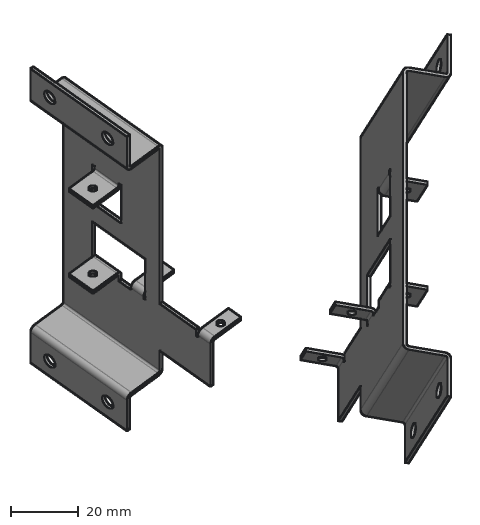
import cadquery as cq

length = 125.0
plate_width = 40.0
thickness = 1.2
inner_radius = 0.7
mid_radius = inner_radius + thickness / 2
mid_y = -thickness / 2

flange_depth = 15.0
flange_height = 13.8
mount_hole_diameter = 4.5
mount_hole_edge_x = 8.0
mount_hole_edge_z = 6.5

arm_right = 61.0
arm_bottom = 23.9
arm_height = 20.0
arm_top = arm_bottom + arm_height

window_left = 12.0
upper_window_right = 24.0
upper_window_bottom = 66.5
upper_window_top = 82.6
lower_window_right = 34.0
lower_window_top = 58.5

wide_tab_width = 10.0
wide_slit = 1.0
wide_tab_left = window_left + wide_slit
wide_tab_right = wide_tab_left + wide_tab_width
wide_tab_reach = 12.0
wide_tab_hole_y = -7.0
upper_tab_top = 81.2
lower_tab_top = 45.0
lower_tab_root = 42.4

narrow_tab_width = 5.2
narrow_tab_reach = 11.8
narrow_tab_hole_y = 5.8
narrow_tab_root = 41.2
narrow_slit = 0.8
tab_hole_diameter = 2.5


def direction(start, end):
    """Unit vector between two points that differ along one axis only."""
    span = abs(end[0] - start[0]) + abs(end[1] - start[1])
    return (end[0] - start[0]) / span, (end[1] - start[1]) / span


def bent_strip(left, right, centre_line):
    """Sheet strip following square-cornered (Y, Z) points, each corner bent to the same radius."""
    first = centre_line[0]
    path = cq.Workplane("YZ", origin=((left + right) / 2, 0, 0)).moveTo(*first)
    for before, corner, after in zip(centre_line, centre_line[1:], centre_line[2:]):
        into = direction(before, corner)
        out = direction(corner, after)
        bend_start = (corner[0] - mid_radius * into[0], corner[1] - mid_radius * into[1])
        bend_end = (corner[0] + mid_radius * out[0], corner[1] + mid_radius * out[1])
        path = path.lineTo(*bend_start).tangentArcPoint(bend_end, relative=False)
    path = path.lineTo(*centre_line[-1])
    section = cq.Workplane("XY", origin=((left + right) / 2, first[0], first[1]))
    return section.rect(right - left, thickness).sweep(path)


def plate_block(left, right, bottom, top):
    """Block as thick as the plate, lying in the plate."""
    corner = (left, -thickness, bottom)
    return cq.Workplane("XY").box(right - left, thickness, top - bottom, centered=False).translate(corner)


def tab(left, right, root_z, leaf_z, tip_y, hole_y):
    """Drilled tab that leaves the plate at root_z and bends to lie level at mid-height leaf_z."""
    strip = bent_strip(left, right, [(mid_y, root_z), (mid_y, leaf_z), (tip_y, leaf_z)])
    drill = (
        cq.Workplane("XY", origin=((left + right) / 2, hole_y, leaf_z - thickness))
        .circle(tab_hole_diameter / 2)
        .extrude(2 * thickness)
    )
    return strip.cut(drill)


flange_mid_y = -flange_depth + thickness / 2
bottom_web_z = flange_height + thickness / 2
top_web_z = length - bottom_web_z
body = bent_strip(
    0,
    plate_width,
    [
        (flange_mid_y, 0),
        (flange_mid_y, bottom_web_z),
        (mid_y, bottom_web_z),
        (mid_y, top_web_z),
        (flange_mid_y, top_web_z),
        (flange_mid_y, length),
    ],
)

mount_holes = [
    (x, z)
    for x in (mount_hole_edge_x, plate_width - mount_hole_edge_x)
    for z in (mount_hole_edge_z, length - mount_hole_edge_z)
]
mount_drills = (
    cq.Workplane("XZ")
    .pushPoints(mount_holes)
    .circle(mount_hole_diameter / 2)
    .extrude(flange_depth)
)
body = body.cut(mount_drills)

arm_tab_left = arm_right - narrow_tab_width
body = body.union(plate_block(plate_width, arm_right, arm_bottom, arm_top))
body = body.cut(plate_block(arm_tab_left - narrow_slit, arm_right, narrow_tab_root, arm_top))

body = body.cut(plate_block(window_left, upper_window_right, upper_window_bottom, upper_window_top))
body = body.cut(plate_block(window_left, lower_window_right, lower_tab_root, lower_window_top))
body = body.cut(plate_block(wide_tab_right, lower_window_right, narrow_tab_root, lower_window_top))

for root_z, top_z in ((upper_window_top, upper_tab_top), (lower_tab_root, lower_tab_top)):
    leaf_z = top_z - thickness / 2
    body = body.union(
        tab(wide_tab_left, wide_tab_right, root_z, leaf_z, -wide_tab_reach, wide_tab_hole_y)
    )

narrow_leaf_z = arm_top - thickness / 2
for right in (lower_window_right - narrow_slit, arm_right):
    left = right - narrow_tab_width
    body = body.union(
        tab(left, right, narrow_tab_root, narrow_leaf_z, narrow_tab_reach, narrow_tab_hole_y)
    )

result = body